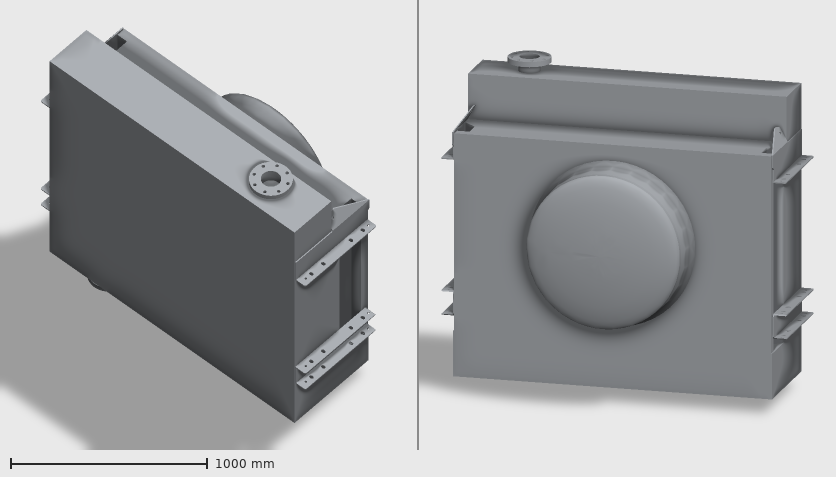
import cadquery as cq
import math


radiator_width = 1682.0
tank_height = 240.0
core_height = 1041.0
core_depth = 342.0
core_top = tank_height + core_height
top_tank_depth = 278.0
bottom_tank_depth = 560.0

cowl_width = 1670.0
cowl_back = bottom_tank_depth
recess_depth = 65.0
recess_back = 508.0

fan_height = tank_height + core_height / 2
fan_back = 830.0
mouth_radius = 437
throat_radius = 417.0
throat_y = 600
neck_radius = 410.0
neck_y = 655
rim_radius = 404.0
rim_front = 712.0
rim_back = 739.0

stub_x = 555.0
stub_y = 136.0
pipe_diameter = 113.0
bore_diameter = 104.0
pipe_length = 47.0
flange_diameter = 224.0
flange_thickness = 27.0
bolt_count = 8
bolt_circle_diameter = 182
bolt_hole_diameter = 18

overall_width = 1820
sheet = 6.0
bracket_front = 5.0
bracket_back = 546
foot_corner_radius = 11.0
upper_bracket_bottom = 1138.0
lower_bracket_bottom = 313.0
lower_bracket_top = 444.0
lower_bracket_chamfer = 13.0
plate_inside = radiator_width / 2
plate_outside = plate_inside + sheet
foot_end = overall_width / 2

foot_hole_x = 877.0
foot_hole_middle = 282.0
end_hole_spacing = 473
end_hole_diameter = 13.0
outer_slot_spacing = 390.0
inner_slot_spacing = 210.0
slot_length = 25.0
slot_width = 18

lug_lean = 30
lug_base = 1287.0
lug_top = 1369.0
lug_front = 282.0
lug_back = cowl_back
lug_peak_front = 311.0
lug_peak_back = 348.0
lug_corner_drop = 10.0
lug_hole_y = 315.0
lug_hole_z = 1335.0
lug_hole_diameter = 16.0
lug_shoulder_bottom = 1207.0
lug_shoulder_chamfer = lug_back - bracket_back


def box(width, y_front, y_back, z_bottom, z_top):
    """Block centred on X = 0."""
    height = z_top - z_bottom
    block = cq.Workplane("XY").box(width, y_back - y_front, height, centered=(True, False, False))
    return block.translate((0, y_front, z_bottom))


def make_stub():
    """Pipe stub standing on Z = 0, with a flange at its upper end."""
    stub = cq.Workplane("XY").circle(pipe_diameter / 2).extrude(pipe_length)
    stub = stub.faces(">Z").workplane().circle(flange_diameter / 2).extrude(flange_thickness)
    stub = stub.faces(">Z").workplane().hole(bore_diameter)
    bolts = stub.faces(">Z").workplane().polarArray(
        bolt_circle_diameter / 2, 180 / bolt_count, 360, bolt_count
    )
    return bolts.hole(bolt_hole_diameter)


def make_top_tank():
    tank_top = core_top + tank_height
    tank = box(radiator_width, 0, top_tank_depth, core_top, tank_top)
    return tank.union(make_stub().translate((stub_x, stub_y, tank_top)))


def make_bottom_tank():
    tank = box(radiator_width, 0, bottom_tank_depth, 0, tank_height)
    stub = make_stub().rotate((0, 0, 0), (1, 0, 0), 180)
    return tank.union(stub.translate((-stub_x, stub_y, 0)))


def make_cowl():
    """Cowl with an upright recess in each side whose front wall slopes at 45 degrees."""
    side = cowl_width / 2
    recess_floor = side - recess_depth
    half_outline = [
        (0, core_depth),
        (side, core_depth),
        (recess_floor, core_depth + recess_depth),
        (recess_floor, recess_back),
        (side, recess_back),
        (side, cowl_back),
        (0, cowl_back),
    ]
    half = cq.Workplane("XY").workplane(offset=tank_height).polyline(half_outline).close()
    half = half.extrude(core_height)
    return half.union(half.mirror("YZ"))


def make_fan_dome():
    """Flared ring, straight rim and elliptical dome, turned about an axis along Y."""
    profile = (
        cq.Workplane("XY")
        .moveTo(0, cowl_back)
        .lineTo(0, fan_back)
        .ellipseArc(rim_radius, fan_back - rim_back, 0, 90, sense=-1)
        .lineTo(rim_radius, rim_front)
        .spline(
            [(neck_radius, neck_y), (throat_radius, throat_y), (mouth_radius, cowl_back)],
            includeCurrent=True,
        )
        .close()
    )
    return profile.revolve(360, (0, 0, 0), (0, 1, 0)).translate((0, 0, fan_height))


def make_core():
    """Core block, cowl and fan dome in one piece."""
    block = box(radiator_width, 0, core_depth, tank_height, core_top)
    return block.union(make_cowl()).union(make_fan_dome())


def make_foot(z_bottom):
    """Outward foot of a right-hand bracket, with its row of holes and slots."""
    length = bracket_back - bracket_front
    foot = cq.Workplane("XY").box(foot_end - plate_inside, length, sheet, centered=False)
    foot = foot.edges("|Z and >X").fillet(foot_corner_radius)
    foot = foot.translate((plate_inside, bracket_front, z_bottom))

    row = cq.Workplane("XY", origin=(foot_hole_x, foot_hole_middle, z_bottom))
    holes = row.rarray(18, end_hole_spacing, 1, 2).circle(end_hole_diameter / 2).extrude(sheet)
    foot = foot.cut(holes)
    for spacing in (outer_slot_spacing, inner_slot_spacing):
        slots = row.rarray(18, spacing, 1, 2).slot2D(slot_length, slot_width).extrude(sheet)
        foot = foot.cut(slots)
    return foot


def trim_to_outline(bracket, outline):
    """Keep the part of a right-hand bracket inside an outline of (y, z) points."""
    trimmer = cq.Workplane("YZ").polyline(outline).close().extrude(overall_width)
    return bracket.intersect(trimmer)


def make_lower_bracket():
    """Right-hand channel with a foot along its top and its bottom."""
    plate = cq.Workplane("XY").box(
        sheet, bracket_back - bracket_front, lower_bracket_top - lower_bracket_bottom, centered=False
    )
    channel = plate.translate((plate_inside, bracket_front, lower_bracket_bottom))
    for z_bottom in (lower_bracket_bottom, lower_bracket_top - sheet):
        channel = channel.union(make_foot(z_bottom))
    outline = [
        (bracket_front, lower_bracket_bottom),
        (bracket_back - lower_bracket_chamfer, lower_bracket_bottom),
        (bracket_back, lower_bracket_bottom + lower_bracket_chamfer),
        (bracket_back, lower_bracket_top - lower_bracket_chamfer),
        (bracket_back - lower_bracket_chamfer, lower_bracket_top),
        (bracket_front, lower_bracket_top),
    ]
    return trim_to_outline(channel, outline)


def make_upper_bracket():
    """Right-hand angle whose plate bends inward at the top into a lifting lug."""
    lean = math.radians(lug_lean)
    lug_shift = (lug_top - lug_base) * math.tan(lean)
    lug_width = sheet / math.cos(lean)
    bend_inside = lug_base - (lug_width - sheet) / math.tan(lean)
    section = [
        (plate_inside, upper_bracket_bottom),
        (plate_outside, upper_bracket_bottom),
        (plate_outside, lug_base),
        (plate_outside - lug_shift, lug_top),
        (plate_outside - lug_shift - lug_width, lug_top),
        (plate_inside, bend_inside),
    ]
    plate = cq.Workplane("XZ").polyline(section).close().extrude(-lug_back)
    outline = [
        (bracket_front, upper_bracket_bottom),
        (bracket_back, upper_bracket_bottom),
        (bracket_back, lug_shoulder_bottom),
        (lug_back, lug_shoulder_bottom + lug_shoulder_chamfer),
        (lug_back, lug_base),
        (lug_peak_back, lug_top),
        (lug_peak_front, lug_top),
        (lug_front, lug_top - lug_corner_drop),
        (lug_front, core_top),
        (bracket_front, core_top),
    ]
    bracket = trim_to_outline(plate.union(make_foot(upper_bracket_bottom)), outline)
    lug_hole = cq.Workplane("YZ", origin=(0, lug_hole_y, lug_hole_z)).circle(lug_hole_diameter / 2)
    return bracket.cut(lug_hole.extrude(overall_width))


core = make_core()
top_tank = make_top_tank()
bottom_tank = make_bottom_tank()

brackets = []
for right_bracket in (make_upper_bracket(), make_lower_bracket()):
    brackets.append(right_bracket.val())
    brackets.append(right_bracket.mirror("YZ").val())

result = cq.Compound.makeCompound([core.val(), top_tank.val(), bottom_tank.val(), *brackets])